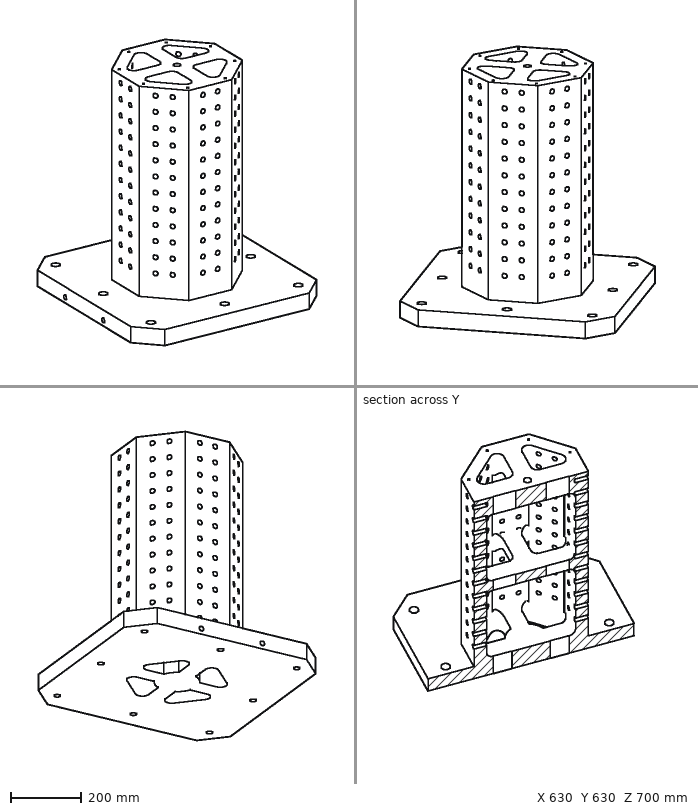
import cadquery as cq
import math

height = 700.0
base_width = 630.0
base_corner_cut = 70.0
tower_width = 350.0
tower_sides = 8
side_angle = 360 / tower_sides

grid = height / 14
base_thickness = grid

wall = 40.0
web = 56.0
inner_radius = 20.0
top_thickness = 70.0
floor_thickness = 70.0
shelf_thickness = 40.0
hub_diameter = 130.0

drill_point_angle = 118.0
face_hole_diameter = 14.0
face_hole_rows = 12
bolt_hole_diameter = 18.0
counterbore_diameter = 26.0
counterbore_depth = base_thickness / 2
bolt_spacing = 5 * grid
lifting_hole_diameter = 21.0
lifting_hole_depth = 35.0
cover_hole_diameter = 5.0
cover_hole_depth = 14.0
cover_hole_inset = 20.0
cover_hole_spacing = 127.0
edge_hole_diameter = 14.0
edge_hole_depth = 35.0
edge_hole_spacing = 4 * grid
edge_hole_height = 17.5

inner_half = tower_width / 2 - wall
half_side_angle = math.radians(side_angle / 2)


def octagon_prism(width, bottom, top):
    """Upright regular octagon with flats facing the axes."""
    diameter = width / math.cos(half_side_angle)
    prism = cq.Workplane("XY").workplane(offset=bottom).polygon(tower_sides, diameter).extrude(top - bottom)
    return prism.rotate((0, 0, 0), (0, 0, 1), side_angle / 2)


def drilled_hole(diameter, depth):
    """Hole along +Y from the XZ plane, with a conical drill point past its full-diameter depth."""
    radius = diameter / 2
    point_length = radius / math.tan(math.radians(drill_point_angle / 2))
    profile = (
        cq.Workplane("XY")
        .lineTo(radius, 0)
        .lineTo(radius, depth)
        .lineTo(0, depth + point_length)
        .close()
    )
    return profile.revolve(360, (0, 0), (0, 1))


def corner_pocket():
    """Rounded triangular pocket between two webs and a diagonal wall, in the +X +Y quadrant."""
    near = web / 2
    far = inner_half * math.sqrt(2) - near
    triangle = cq.Workplane("XY").polyline([(near, near), (far, near), (near, far)]).close()
    return triangle.extrude(height).edges("|Z").fillet(inner_radius)


def chamber(bottom, top):
    """Octagonal room made of two crossing passages with rounded ends."""
    passage_width = 2 * inner_half * math.tan(half_side_angle)
    passage = (
        cq.Workplane("XY")
        .box(passage_width, 2 * inner_half, top - bottom)
        .edges("|X")
        .fillet(inner_radius)
        .translate((0, 0, (bottom + top) / 2))
    )
    return passage.union(passage.rotate((0, 0, 0), (0, 0, 1), 90))


def tower_holes():
    """Two columns of drilled holes on each of the eight faces, as one compound."""
    hole = drilled_hole(face_hole_diameter, wall)
    solids = []
    for side in range(tower_sides):
        for row in range(face_hole_rows):
            z = height - (row + 0.5) * grid
            for x in (-grid / 2, grid / 2):
                placed = hole.translate((x, -tower_width / 2, z))
                solids.append(placed.rotate((0, 0, 0), (0, 0, 1), side_angle * side).val())
    return cq.Workplane(obj=cq.Compound.makeCompound(solids))


tower = octagon_prism(tower_width, 0, height).cut(tower_holes())

base = (
    cq.Workplane("XY")
    .rect(base_width, base_width)
    .extrude(base_thickness)
    .edges("|Z")
    .chamfer(base_corner_cut)
)
body = base.union(tower)

pocket = corner_pocket()
chamber_height = (height - top_thickness - floor_thickness - shelf_thickness) / 2
hollow = chamber(floor_thickness, floor_thickness + chamber_height)
hollow = hollow.union(chamber(height - top_thickness - chamber_height, height - top_thickness))
for quarter in range(4):
    hollow = hollow.union(pocket.rotate((0, 0, 0), (0, 0, 1), 90 * quarter))
body = body.cut(hollow)

body = body.union(cq.Workplane("XY").circle(hub_diameter / 2).extrude(floor_thickness))

bolt_points = [
    (column * bolt_spacing, row * bolt_spacing)
    for column in (-1, 0, 1)
    for row in (-1, 0, 1)
    if (column, row) != (0, 0)
]
bolt_holes = cq.Workplane("XY").pushPoints(bolt_points).circle(bolt_hole_diameter / 2).extrude(base_thickness)
counterbores = (
    cq.Workplane("XY")
    .workplane(offset=base_thickness - counterbore_depth)
    .pushPoints(bolt_points)
    .circle(counterbore_diameter / 2)
    .extrude(counterbore_depth)
)
body = body.cut(bolt_holes).cut(counterbores)

edge_hole = drilled_hole(edge_hole_diameter, edge_hole_depth)
for x in (-edge_hole_spacing / 2, edge_hole_spacing / 2):
    body = body.cut(edge_hole.translate((x, -base_width / 2, edge_hole_height)))

lifting_hole = drilled_hole(lifting_hole_diameter, lifting_hole_depth).rotate((0, 0, 0), (1, 0, 0), -90)
body = body.cut(lifting_hole.translate((0, 0, height)))

cover_x = cover_hole_spacing / 2
cover_y = tower_width / 2 - cover_hole_inset
cover_holes = (
    cq.Workplane("XY")
    .workplane(offset=height - cover_hole_depth)
    .rect(2 * cover_x, 2 * cover_y, forConstruction=True)
    .vertices()
    .circle(cover_hole_diameter / 2)
    .extrude(cover_hole_depth)
)
body = body.cut(cover_holes).cut(cover_holes.rotate((0, 0, 0), (0, 0, 1), 90))

result = body